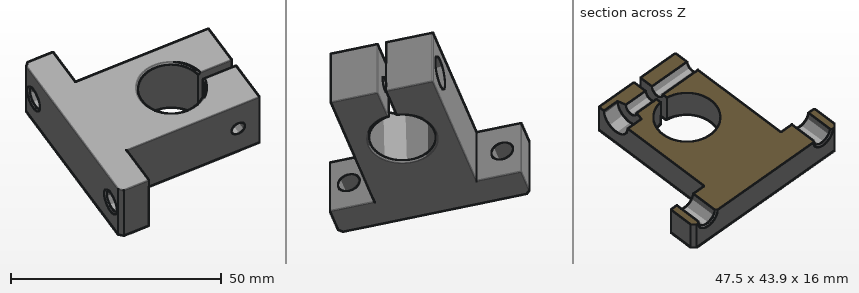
import cadquery as cq
import math

thickness = 16.0
foot_length = 47.5
foot_height = 7.9
foot_corner_chamfer = 1.0
stem_width = 25.4
total_height = 43.85
shaft_height = 26.85
edge_radius = 0.2

bore_diameter = 15.8
bore_chamfer = 0.5
slit_width = 2.0

mount_spacing = 38.0
mount_diameter = 5.35
mount_chamfer = 0.5

screw_height = 38.0
screw_diameter = 3.6
seat_diameter = 8.0
seat_depth = 4.5
drill_point_angle = 150.0

foot_bottom = -shaft_height
foot_top = foot_bottom + foot_height
stem_top = foot_bottom + total_height
half_stem = stem_width / 2
half_thickness = thickness / 2


def make_block(length, height):
    """Full-thickness block centred on X, standing on the foot bottom."""
    return (
        cq.Workplane("XY")
        .box(length, height, thickness, centered=(True, False, True))
        .translate((0, foot_bottom, 0))
    )


def make_body():
    """T-shaped block bored and slit, with rounded corners and rims."""
    foot = make_block(foot_length, foot_height)
    foot = foot.edges("|Z and <Y").chamfer(foot_corner_chamfer)
    foot = foot.edges("|Z and >Y").fillet(edge_radius)
    stem = make_block(stem_width, total_height)
    slit = cq.Workplane("XY").box(slit_width, stem_top, thickness, centered=(True, False, True))
    body = foot.union(stem).cut(slit).cut(make_bore())
    body = body.edges("|Z and >Y").fillet(edge_radius)
    return body.faces("|Z").edges().fillet(edge_radius)


def revolved_cutter(profile, plane):
    """Solid of revolution about the local Y axis of the plane, from (radius, height) points."""
    return cq.Workplane(plane).polyline(profile).close().revolve(360, (0, 0), (0, 1))


def make_bore():
    """Shaft bore along Z with a chamfer at each end."""
    radius = bore_diameter / 2
    mouth = radius + bore_chamfer
    profile = [
        (0, -half_thickness),
        (mouth, -half_thickness),
        (radius, -half_thickness + bore_chamfer),
        (radius, half_thickness - bore_chamfer),
        (mouth, half_thickness),
        (0, half_thickness),
    ]
    return revolved_cutter(profile, "XZ")


def make_mount_hole(x):
    """Mounting hole along Y through the foot, chamfered where it opens on the bottom."""
    radius = mount_diameter / 2
    mouth = radius + mount_chamfer
    profile = [
        (0, foot_bottom),
        (mouth, foot_bottom),
        (radius, foot_bottom + mount_chamfer),
        (radius, foot_top),
        (0, foot_top),
    ]
    return revolved_cutter(profile, "XY").translate((x, 0, 0))


def make_screw_hole():
    """Clamp screw hole along X, with its seat opening on the -X side of the stem."""
    seat_radius = seat_diameter / 2
    screw_radius = screw_diameter / 2
    cone_depth = (seat_radius - screw_radius) / math.tan(math.radians(drill_point_angle / 2))
    cone_start = -half_stem + seat_depth
    profile = [
        (-half_stem, 0),
        (-half_stem, seat_radius),
        (cone_start, seat_radius),
        (cone_start + cone_depth, screw_radius),
        (half_stem, screw_radius),
        (half_stem, 0),
    ]
    hole = cq.Workplane("XY").polyline(profile).close().revolve(360, (0, 0), (1, 0))
    return hole.translate((0, foot_bottom + screw_height, 0))


result = make_body().cut(make_screw_hole())
for side in (-1, 1):
    result = result.cut(make_mount_hole(side * mount_spacing / 2))